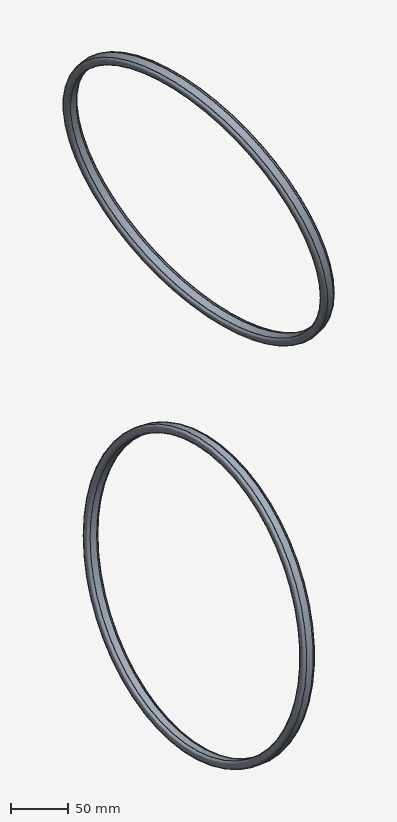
import cadquery as cq

outer_radius = 156.5
inner_radius = 148.5
width = 12.8

rim_land_width = 7.2
slope_depth = 1.3
side_edge_radius = 1.5

half_width = width / 2
half_land = rim_land_width / 2
section = [
    (outer_radius, -half_land),
    (outer_radius, half_land),
    (outer_radius - slope_depth, half_width),
    (inner_radius + slope_depth, half_width),
    (inner_radius, half_land),
    (inner_radius, -half_land),
    (inner_radius + slope_depth, -half_width),
    (outer_radius - slope_depth, -half_width),
]
ring = cq.Workplane("XY").polyline(section).close().revolve(360, (0, 0, 0), (0, 1, 0))

result = ring.faces("<Y or >Y").edges().fillet(side_edge_radius)